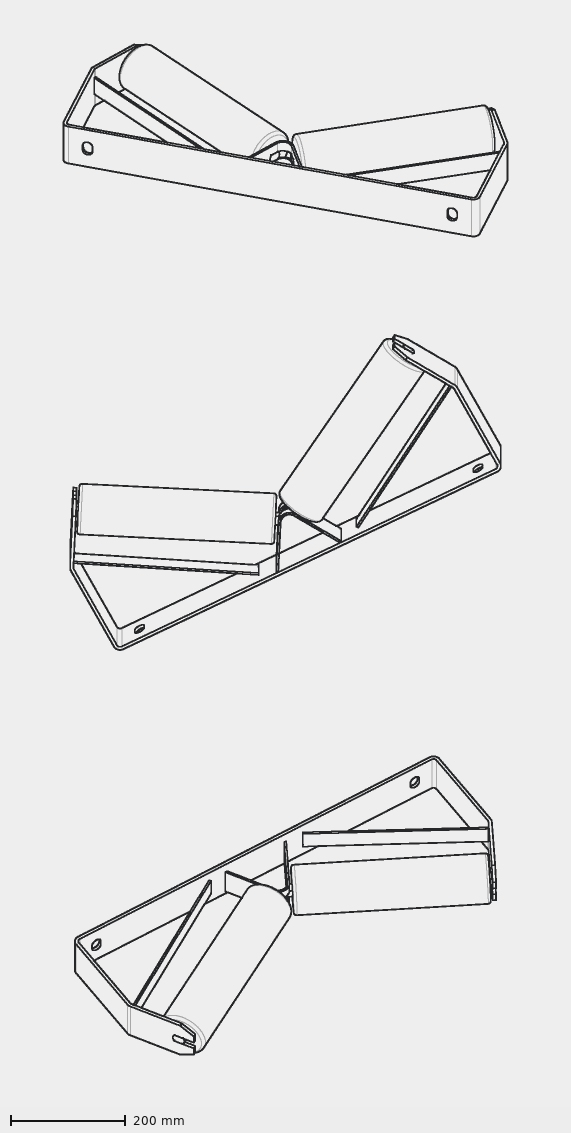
import cadquery as cq
import math


frame_length = 760.0
frame_width = 80.0
frame_thickness = 6.0
frame_bend_radius = 12.0
side_height = 178.5
wing_length = 128.0
wing_angle = math.radians(30)
wing_chamfer_along = 26.5
wing_chamfer_across = 15.0
mount_slot_length = 26.5
mount_slot_width = 18.0
mount_slot_inset = 47.0

bracket_width = 53.0
bracket_thickness = 4.0
bracket_bend_radius = 19.0
bracket_half_span = 64.0

roller_diameter = 89.0
roller_length = 345.0
roller_edge_radius = 5.0
roller_drop = 7.2
roller_wing_gap = 4.0
axis_to_wing_tip = 30.0
shaft_diameter = 23.0
shaft_flats = 16.0

brace_thickness = 4.0
brace_width = 35.0
brace_center_z = 4.0
brace_foot_x = -98.0
brace_foot_y = 7.0
brace_head_y = 177.0

half_length = frame_length / 2
lean_sin = math.sin(wing_angle)
lean_cos = math.cos(wing_angle)
wing_tip = cq.Vector(-half_length + wing_length * lean_sin, side_height + wing_length * lean_cos, 0)
up_wing = cq.Vector(lean_sin, lean_cos, 0)
off_wing = cq.Vector(lean_cos, -lean_sin, 0)
roller_tilt = math.asin(roller_drop / roller_length)
axis_direction = off_wing * math.cos(roller_tilt) - cq.Vector(0, 0, math.sin(roller_tilt))
axis_at_wing = wing_tip - up_wing * axis_to_wing_tip
bracket_apex = cq.Vector(0, frame_thickness + bracket_half_span / math.tan(wing_angle), 0)
outer_stub = frame_thickness + roller_wing_gap
shaft_length = (bracket_apex - axis_at_wing).dot(off_wing) + bracket_thickness


def mirrored(body):
    return body.mirror("YZ")


def bent_strip(outer_points, width, thickness, bend_radius):
    """Strip of constant thickness whose outside follows the points, with its inside on their left."""
    points = [cq.Vector(x, y, 0) for x, y in outer_points]
    runs = [(b - a).normalized() for a, b in zip(points, points[1:])]
    lefts = [cq.Vector(-run.y, run.x, 0) for run in runs]
    inner = [points[0] + lefts[0] * thickness]
    for point, before, after in zip(points[1:-1], lefts, lefts[1:]):
        inner.append(point + (before + after) * (thickness / (1 + before.dot(after))))
    inner.append(points[-1] + lefts[-1] * thickness)

    outline = [(p.x, p.y) for p in points + inner[::-1]]
    strip = cq.Workplane("XY").polyline(outline).close().extrude(width / 2, both=True)
    for corners, radius in ((points, bend_radius), (inner, bend_radius - thickness)):
        for corner in corners[1:-1]:
            strip = strip.edges(cq.NearestToPointSelector(corner.toTuple())).fillet(radius)
    return strip


def axis_plane(distance):
    """Plane square to the roller axis, at a distance along it from the outside of the wing."""
    return cq.Plane(axis_at_wing + axis_direction * distance, up_wing, axis_direction)


def flatted_shaft(start, length):
    """Shaft with two flats, from a distance along the roller axis."""
    radius = shaft_diameter / 2
    half_flats = shaft_flats / 2
    flat_end = math.sqrt(radius**2 - half_flats**2)
    return (
        cq.Workplane(axis_plane(start))
        .moveTo(-flat_end, -half_flats)
        .lineTo(flat_end, -half_flats)
        .threePointArc((radius, 0), (flat_end, half_flats))
        .lineTo(-flat_end, half_flats)
        .threePointArc((-radius, 0), (-flat_end, -half_flats))
        .close()
        .extrude(length)
    )


def shaft_slot(start, length, run):
    """Slot that holds a shaft end and opens along the wing or bracket leg, toward its top."""
    opening = (
        cq.Workplane(axis_plane(start))
        .center(run / 2, 0)
        .rect(run, shaft_flats)
        .extrude(length)
    )
    return opening.union(flatted_shaft(start, length))


def make_roller():
    """Round-edged roller with a flatted shaft end on each side."""
    shell = (
        cq.Workplane(axis_plane(outer_stub))
        .circle(roller_diameter / 2)
        .extrude(roller_length)
        .edges()
        .fillet(roller_edge_radius)
    )
    return shell.union(flatted_shaft(0, shaft_length))


def wing_corner_cut():
    """Both tapered corners at the tip of a wing."""
    half_width = frame_width / 2
    corner = (
        cq.Workplane(cq.Plane(wing_tip, up_wing, off_wing))
        .moveTo(0, half_width)
        .lineTo(-wing_chamfer_along, half_width)
        .lineTo(0, half_width - wing_chamfer_across)
        .close()
        .extrude(frame_thickness)
    )
    return corner.union(corner.mirror("XY"))


def make_frame():
    left = [(wing_tip.x, wing_tip.y), (-half_length, side_height), (-half_length, 0)]
    right = [(-x, y) for x, y in reversed(left)]
    frame = bent_strip(left + right, frame_width, frame_thickness, frame_bend_radius)

    slot_x = half_length - mount_slot_inset
    mount_slots = (
        cq.Workplane("XZ")
        .pushPoints([(-slot_x, 0), (slot_x, 0)])
        .slot2D(mount_slot_length, mount_slot_width, 90)
        .extrude(-frame_thickness)
    )
    frame = frame.cut(mount_slots)

    wing_slot = shaft_slot(-frame_thickness, 2 * outer_stub, 2 * axis_to_wing_tip)
    for cutter in (wing_corner_cut(), wing_slot):
        frame = frame.cut(cutter).cut(mirrored(cutter))
    return frame


def make_bracket():
    leg_end_x = 2 * bracket_half_span
    leg_end_y = 2 * frame_thickness - bracket_apex.y
    bracket = bent_strip(
        [(leg_end_x, leg_end_y), (0, bracket_apex.y), (-leg_end_x, leg_end_y)],
        bracket_width,
        bracket_thickness,
        bracket_bend_radius,
    )
    above_base = (
        cq.Workplane("XY")
        .center(0, frame_thickness + bracket_apex.y / 2)
        .rect(2 * bracket_half_span, bracket_apex.y)
        .extrude(bracket_width, both=True)
    )
    bracket = bracket.intersect(above_base).translate((0, 0, -roller_drop))

    past_bend = bracket_bend_radius
    slot = shaft_slot(shaft_length - past_bend, 2 * past_bend, bracket_apex.y)
    return bracket.cut(slot).cut(mirrored(slot))


def make_brace(frame):
    """Flat bar from the foot of a wing down to the base, trimmed against the frame."""
    head = cq.Vector(-half_length + frame_thickness / 2, brace_head_y, brace_center_z)
    foot = cq.Vector(brace_foot_x, brace_foot_y, brace_center_z)
    along = foot - head
    bar = (
        cq.Workplane(cq.Plane(head, along, (0, 0, 1)))
        .center(along.Length / 2, brace_thickness / 2)
        .rect(along.Length, brace_thickness)
        .extrude(brace_width / 2, both=True)
    )
    return bar.cut(frame)


frame = make_frame()
bracket = make_bracket()
roller = make_roller()
brace = make_brace(frame)
rollers = [roller, mirrored(roller)]
braces = [brace, mirrored(brace)]

result = cq.Compound.makeCompound(
    [body.val() for body in [frame, bracket, *rollers, *braces]]
)